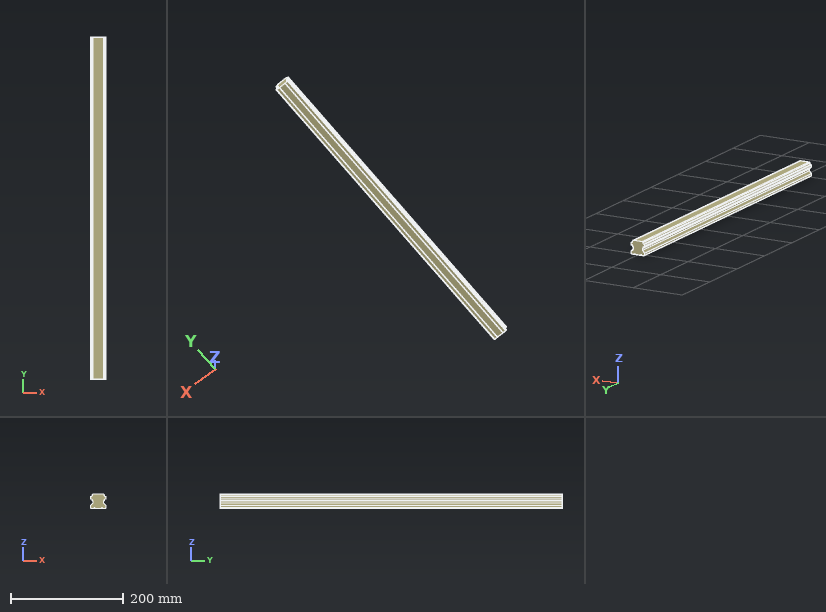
import cadquery as cq
import math

RAIL_WIDTH = 28.0
RAIL_HEIGHT = 26.0
RAIL_LENGTH = 610.0

HALF_WIDTH = RAIL_WIDTH / 2
WEB_HALF_WIDTH = 9.5

BASE_CHAMFER = 1.5
BASE_SIDE_TOP = 5.1
SHOULDER_X = 13.66
SHOULDER_Z = 5.7
WEB_BOTTOM = 9.8

WEB_TOP = 13.1
HEAD_MIDDLE = 19.16
HEAD_SIDE_HEIGHT = 2.2
TOP_CHAMFER = 1.5

GROOVE_INNER_X = 10.8
GROOVE_INNER_OFFSET = 4.75
GROOVE_SHELF_X = 12.0
GROOVE_SHELF_OFFSET = 2.4
SHELF_END_X = 13.8
SHELF_END_OFFSET = 2.2
GROOVE_SAG = 0.35

BOTTOM_GROOVE_X = 6.5
BOTTOM_GROOVE_WIDTH = 0.4
BOTTOM_GROOVE_DEPTH = 1.2


def groove_points(side):
    """Arc start, arc middle, arc end and shelf end; side is +1 above the head middle, -1 below."""
    run = GROOVE_SHELF_X - GROOVE_INNER_X
    rise = GROOVE_INNER_OFFSET - GROOVE_SHELF_OFFSET
    chord = math.hypot(run, rise)
    middle_x = (GROOVE_INNER_X + GROOVE_SHELF_X) / 2 - GROOVE_SAG * rise / chord
    middle_offset = (GROOVE_INNER_OFFSET + GROOVE_SHELF_OFFSET) / 2 - GROOVE_SAG * run / chord
    inner = (GROOVE_INNER_X, HEAD_MIDDLE + side * GROOVE_INNER_OFFSET)
    middle = (middle_x, HEAD_MIDDLE + side * middle_offset)
    shelf = (GROOVE_SHELF_X, HEAD_MIDDLE + side * GROOVE_SHELF_OFFSET)
    shelf_end = (SHELF_END_X, HEAD_MIDDLE + side * SHELF_END_OFFSET)
    return inner, middle, shelf, shelf_end


def make_right_half():
    """Extrude the right half of the section along Y, centred on the origin."""
    lower_inner, lower_middle, lower_shelf, lower_end = groove_points(-1)
    upper_inner, upper_middle, upper_shelf, upper_end = groove_points(1)
    outline = (
        cq.Workplane("XZ")
        .lineTo(HALF_WIDTH - BASE_CHAMFER, 0)
        .lineTo(HALF_WIDTH, BASE_CHAMFER)
        .lineTo(HALF_WIDTH, BASE_SIDE_TOP)
        .lineTo(SHOULDER_X, SHOULDER_Z)
        .lineTo(WEB_HALF_WIDTH, WEB_BOTTOM)
        .lineTo(WEB_HALF_WIDTH, WEB_TOP)
        .lineTo(*lower_inner)
        .threePointArc(lower_middle, lower_shelf)
        .lineTo(*lower_end)
        .lineTo(HALF_WIDTH, HEAD_MIDDLE - HEAD_SIDE_HEIGHT / 2)
        .lineTo(HALF_WIDTH, HEAD_MIDDLE + HEAD_SIDE_HEIGHT / 2)
        .lineTo(*upper_end)
        .lineTo(*upper_shelf)
        .threePointArc(upper_middle, upper_inner)
        .lineTo(GROOVE_INNER_X, RAIL_HEIGHT - TOP_CHAMFER)
        .lineTo(GROOVE_INNER_X - TOP_CHAMFER, RAIL_HEIGHT)
        .lineTo(0, RAIL_HEIGHT)
        .close()
    )
    return outline.extrude(RAIL_LENGTH / 2, both=True)


def make_bottom_grooves():
    """Cutters for the two narrow grooves that run the full length of the bottom face."""
    return (
        cq.Workplane("XY")
        .pushPoints([(-BOTTOM_GROOVE_X, 0), (BOTTOM_GROOVE_X, 0)])
        .rect(BOTTOM_GROOVE_WIDTH, RAIL_LENGTH)
        .extrude(BOTTOM_GROOVE_DEPTH)
    )


right_half = make_right_half()
rail = right_half.union(right_half.mirror("YZ")).clean()
result = rail.cut(make_bottom_grooves())